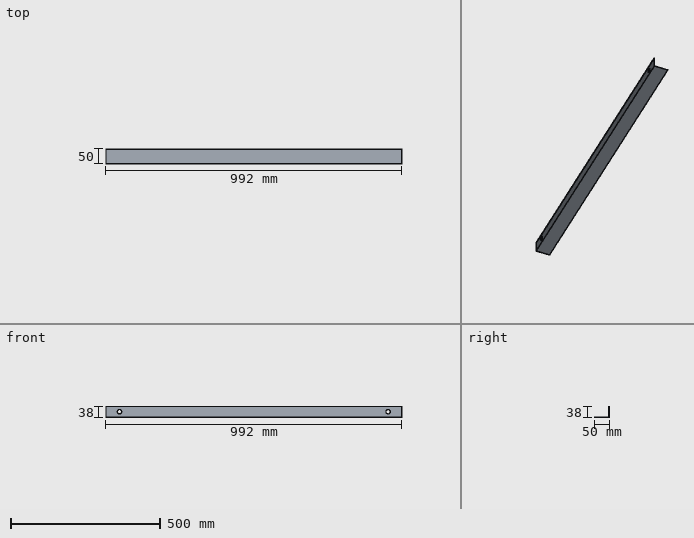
import cadquery as cq

length = 992.0
flange_depth = 50.0
web_height = 38.0
thickness = 2.0

hole_diameter = 14.0
hole_end_distance = 46.0
hole_height = 20.0


def make_angle():
    """L-shaped profile in YZ, upright at the +Y edge, extruded along X."""
    return (
        cq.Workplane("YZ")
        .moveTo(0, 0)
        .lineTo(flange_depth, 0)
        .lineTo(flange_depth, web_height)
        .lineTo(flange_depth - thickness, web_height)
        .lineTo(flange_depth - thickness, thickness)
        .lineTo(0, thickness)
        .close()
        .extrude(length)
    )


def make_web_hole(x):
    """Cylinder along Y that pierces the upright web at position x."""
    return (
        cq.Workplane("XZ")
        .center(x, hole_height)
        .circle(hole_diameter / 2)
        .extrude(-flange_depth)
    )


result = make_angle()
for hole_x in (hole_end_distance, length - hole_end_distance):
    result = result.cut(make_web_hole(hole_x))